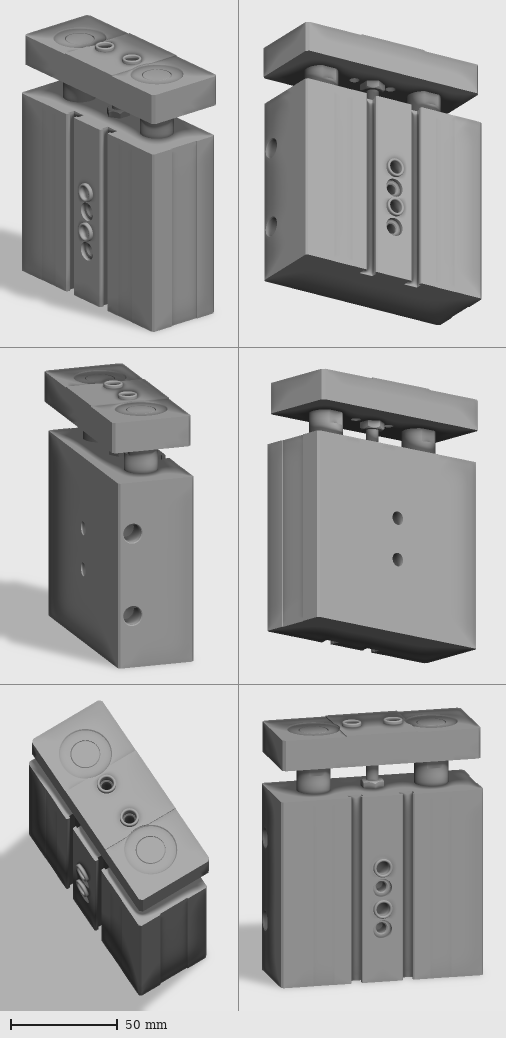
import cadquery as cq
import math


housing_width = 98.0
housing_height = 90.1
housing_front = -19.0
housing_back = 18.5
housing_corner = 1.0

band_inner_x = 23.3
band_outer_x = 33.4
band_depth = 0.1

slot_x = 12.4
slot_mouth = 5.0
slot_mouth_chamfer = 0.5
slot_lip = 2.0
slot_inner_width = 7.1
slot_depth = 5.4

side_recess_width = 15.1
side_recess_depth = 0.5

hole_pitch = 10.0
lowest_hole_z = 25.4
blind_hole_levels = (lowest_hole_z, lowest_hole_z + 2 * hole_pitch)
through_hole_levels = (lowest_hole_z + hole_pitch, lowest_hole_z + 3 * hole_pitch)
through_hole_diameter = 6.5

tapped_diameter = 4.9
tapped_mouth_diameter = 6.0
blind_hole_depth = 7.3
drill_tip_angle = 118.0

port_diameter = 8.9
port_mouth_diameter = 9.8
port_depth = 11.0
port_y = 11.5
port_levels = (25.1, 65.2)

sleeve_diameter = 9.0
sleeve_bore = 6.5
sleeve_rim_radius = 0.6
sleeve_length = 4.0
sleeve_rise = 1.8
seat_depth = sleeve_length - sleeve_rise

plate_width = 96.0
plate_front = -18.0
plate_back = 21.0
plate_bottom = 104.8
plate_top = 119.6
plate_corner = 1.3
pad_width = 34.6
pad_top = 120.1
plate_hole_x = 10.0

recess_diameter = 25.0
recess_floor_diameter = 24.0
recess_depth = 0.5
recess_floor_z = plate_top - recess_depth

rod_x = 28.5
rod_diameter = 16.0
rod_foot_diameter = 32.0
rod_foot_bottom = 26.8
rod_foot_top = 32.9
rod_end_diameter = 14.0
rod_end_chamfer = 0.5
rod_flat_width = rod_end_diameter
rod_flat_bottom = 98.6

piston_rod_diameter = 6.0
hex_across_flats = 10.0
hex_chamfer = 1.0
upper_hex_bottom = 101.2
lower_hex_top = 93.4



def box(x0, x1, y0, y1, z0, z1):
    return cq.Workplane("XY").box(x1 - x0, y1 - y0, z1 - z0, centered=False).translate((x0, y0, z0))


def cylinder(diameter, x, z0, z1):
    return cq.Workplane("XY", origin=(x, 0, z0)).circle(diameter / 2).extrude(z1 - z0)


def revolved(profile):
    """Turn a (radius, height) profile around the Z axis."""
    return cq.Workplane("XZ").polyline(profile).close().revolve(360, (0, 0, 0), (0, 1, 0))


def drilled_hole(diameter, mouth_diameter, depth):
    """Blind hole going down from Z = 0, with a 45 degree mouth chamfer and a conical bottom."""
    radius = diameter / 2
    mouth_radius = mouth_diameter / 2
    tip = radius / math.tan(math.radians(drill_tip_angle / 2))
    return revolved([
        (0, 0),
        (mouth_radius, 0),
        (radius, radius - mouth_radius),
        (radius, -depth),
        (0, -depth - tip),
    ])


def sleeve_seat():
    """Seat going down from Z = 0."""
    return cylinder(sleeve_diameter, 0, -seat_depth, 0)


def seated_tapped_hole(depth):
    """Sleeve seat with a tapped hole of the given depth below it, going down from Z = 0."""
    hole = drilled_hole(tapped_diameter, tapped_mouth_diameter, depth)
    return sleeve_seat().union(hole.translate((0, 0, -seat_depth)))


def on_front_face(shape, z):
    """Turn a shape from Z = 0 to the front face of the housing, its +Z pointing to -Y."""
    return shape.rotate((0, 0, 0), (1, 0, 0), 90).translate((0, housing_front, z))



def slot_cutter(x):
    half_mouth = slot_mouth / 2
    half_inner = slot_inner_width / 2
    half = [
        (half_mouth + slot_mouth_chamfer, 0),
        (half_mouth, slot_mouth_chamfer),
        (half_mouth, slot_lip),
        (half_inner, slot_lip),
        (half_inner, slot_depth),
    ]
    mirrored = [(-px, py) for px, py in reversed(half)]
    return (
        cq.Workplane("XY", origin=(x, housing_front, 0))
        .polyline(half + mirrored).close().extrude(housing_height)
    )


def front_band(side):
    x0, x1 = sorted((side * band_inner_x, side * band_outer_x))
    return box(x0, x1, housing_front, housing_front + band_depth, 0, housing_height)


def side_recess():
    half_width = side_recess_width / 2
    right = housing_width / 2
    return box(right - side_recess_depth, right, -half_width, half_width, 0, housing_height)


def air_port(z):
    port = drilled_hole(port_diameter, port_mouth_diameter, port_depth)
    return port.rotate((0, 0, 0), (0, 1, 0), -90).translate((-housing_width / 2, port_y, z))


def through_hole():
    """Sleeve seat and through hole, going down from Z = 0."""
    return sleeve_seat().union(cylinder(through_hole_diameter, 0, housing_front - housing_back, 0))


def make_housing():
    half_width = housing_width / 2
    body = box(-half_width, half_width, housing_front, housing_back, 0, housing_height)
    body = body.edges("|Z").chamfer(housing_corner)
    body = body.cut(side_recess())
    for side in (-1, 1):
        body = body.cut(slot_cutter(side * slot_x))
        body = body.cut(front_band(side))
        body = body.cut(make_guide_rod(side * rod_x))
    for z in port_levels:
        body = body.cut(air_port(z))
    for z in through_hole_levels:
        body = body.cut(on_front_face(through_hole(), z))
    for z in blind_hole_levels:
        body = body.cut(on_front_face(seated_tapped_hole(blind_hole_depth), z))
    return body



def rod_recess(x):
    cone = (
        cq.Workplane("XY", origin=(x, 0, recess_floor_z)).circle(recess_floor_diameter / 2)
        .workplane(offset=recess_depth).circle(recess_diameter / 2).loft()
    )
    return cone.union(cylinder(recess_diameter, x, plate_top, pad_top))


def hexagon(z0, z1, chamfered_face):
    """Hexagonal prism with a corner on the -Y side and its corners turned off at one face."""
    corner_diameter = hex_across_flats / math.cos(math.radians(30))
    prism = (
        cq.Workplane("XY", origin=(0, 0, z0)).polygon(6, corner_diameter).extrude(z1 - z0)
        .rotate((0, 0, 0), (0, 0, 1), 30)
    )
    turned = cylinder(corner_diameter, 0, z0, z1).faces(chamfered_face).chamfer(hex_chamfer)
    return prism.intersect(turned)


def make_piston_rod():
    rod = cylinder(piston_rod_diameter, 0, housing_height, plate_bottom)
    upper_hex = hexagon(upper_hex_bottom, plate_bottom, "<Z")
    lower_hex = hexagon(housing_height, lower_hex_top, ">Z")
    return rod.union(upper_hex).union(lower_hex)


def make_moving_plate():
    half_width = plate_width / 2
    half_pad = pad_width / 2
    body = box(-half_width, half_width, plate_front, plate_back, plate_bottom, plate_top)
    body = body.edges("|Z").chamfer(plate_corner)
    body = body.union(box(-half_pad, half_pad, plate_front, plate_back, plate_bottom, pad_top))
    for side in (-1, 1):
        body = body.cut(rod_recess(side * rod_x))
        body = body.cut(cylinder(rod_end_diameter, side * rod_x, plate_bottom, plate_top))
        tapped_hole = seated_tapped_hole(pad_top - plate_bottom)
        body = body.cut(tapped_hole.translate((side * plate_hole_x, 0, pad_top)))
    return body.union(make_piston_rod())



def make_guide_rod(x):
    half_flat = rod_flat_width / 2
    shaft = cylinder(rod_diameter, x, rod_foot_top, rod_flat_bottom)
    flatted = cylinder(rod_diameter, x, rod_flat_bottom, plate_bottom).intersect(
        box(x - rod_diameter, x + rod_diameter, -half_flat, half_flat, rod_flat_bottom, plate_bottom)
    )
    foot = cylinder(rod_foot_diameter, x, rod_foot_bottom, rod_foot_top)
    end = cylinder(rod_end_diameter, x, plate_bottom, recess_floor_z)
    end = end.faces(">Z").chamfer(rod_end_chamfer)
    return shaft.union(flatted).union(foot).union(end)



def make_sleeve():
    """Sleeve around the Z axis, with Z = 0 at the surface that it stands out of."""
    tube = (
        cq.Workplane("XY", origin=(0, 0, -seat_depth)).circle(sleeve_diameter / 2).circle(sleeve_bore / 2)
        .extrude(sleeve_length)
    )
    return tube.faces(">Z").edges().fillet(sleeve_rim_radius)



housing = make_housing()
moving_plate = make_moving_plate()
guide_rods = [make_guide_rod(side * rod_x) for side in (-1, 1)]
plate_sleeves = [make_sleeve().translate((side * plate_hole_x, 0, pad_top)) for side in (-1, 1)]
front_sleeves = [on_front_face(make_sleeve(), z) for z in through_hole_levels]

bodies = [housing, moving_plate, *guide_rods, *plate_sleeves, *front_sleeves]
result = cq.Compound.makeCompound([body.val() for body in bodies])